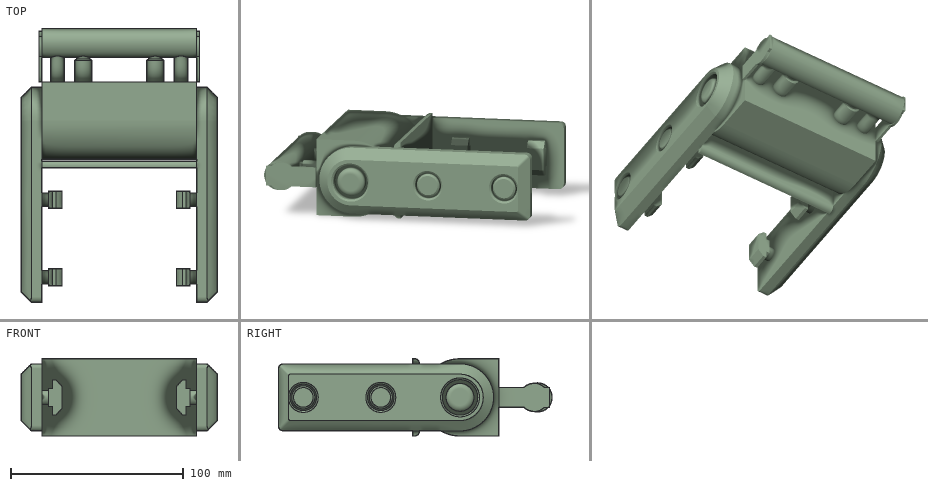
import cadquery as cq


body_width = 90.0
body_height = 45.0
body_radius = body_height / 2
body_rear = body_radius
body_side = body_width / 2

arm_thickness = 12.0
arm_height = 39.0
arm_radius = arm_height / 2
arm_front = -105.5
arm_chamfer = 6.0
arm_corner_radius = 3.0
arm_slope_radius = 1.5
arm_outer_face = body_side + arm_thickness

recess_depth = 7.0
recess_chamfer = 1.0
pivot_recess_diameter = 20.6
pivot_head_diameter = 16.2
pivot_head_round = 3.0
bolt_recess_diameter = 15.4
bolt_head_diameter = 13.4
bolt_head_chamfer = 1.0
bolt_head_sink = 0.4
first_bolt_y = -46.0
bolt_spacing = 45.0
bolt_positions = [first_bolt_y, first_bolt_y - bolt_spacing]

screw_diameter = 8.0
screw_length = 4.0
nut_width = 10.0
nut_neck_height = 10.4
nut_neck_depth = 2.3
nut_head_height = 20.2
nut_head_straight = 2.0
nut_head_depth = 5.5
nut_tip_height = 12.8

cross_plate_rear = -23.5
cross_plate_thickness = 4.0
cross_plate_round = 3.0

handle_diameter = 17.0
handle_y = 45.0
end_plate_thickness = 1.6
end_plate_height = 11.5
end_plate_rear = 52.0
end_plate_lobe_radius = 8.25
end_plate_lobe_y = 43.0
end_plate_gap = 0.05

plain_rod_x = 35.9
plain_rod_diameter = 8.0
stepped_rod_x = 20.9
stepped_rod_diameter = 9.9
stepped_rod_neck_diameter = 7.7
stepped_rod_shoulder_y = 35.0
stepped_rod_taper_length = 0.7


def disc(diameter, x_start, x_end, y):
    """Cylinder along X between two x positions."""
    return cq.Workplane("YZ", origin=(x_start, y, 0)).circle(diameter / 2).extrude(x_end - x_start)


def rod(diameter, x, y_end):
    """Cylinder along Y from the pivot plane to y_end."""
    return cq.Workplane("XZ", origin=(x, 0, 0)).circle(diameter / 2).extrude(-y_end)


def make_body():
    """Block with a half-round front."""
    return (
        cq.Workplane("YZ", origin=(-body_side, 0, 0))
        .moveTo(body_rear, -body_radius)
        .lineTo(body_rear, body_radius)
        .lineTo(0, body_radius)
        .threePointArc((-body_radius, 0), (0, -body_radius))
        .close()
        .extrude(body_width)
    )


def make_arm_blank():
    """Arm with a round rear end, chamfered outer face and rounded front corners."""
    blank = (
        cq.Workplane("YZ", origin=(body_side, 0, 0))
        .moveTo(arm_front, -arm_radius)
        .lineTo(0, -arm_radius)
        .threePointArc((arm_radius, 0), (0, arm_radius))
        .lineTo(arm_front, arm_radius)
        .close()
        .extrude(arm_thickness)
        .faces(">X")
        .chamfer(arm_chamfer)
    )
    margin = 0.1
    front_corner_zone = cq.selectors.BoxSelector(
        (body_side - margin, arm_front - margin, -arm_radius - margin),
        (arm_outer_face + margin, arm_front + arm_chamfer + margin, arm_radius + margin),
        boundingbox=True,
    )
    corner_edges = blank.edges(front_corner_zone).edges("not(|X or |Y or |Z)")
    rounded = corner_edges.fillet(arm_slope_radius)
    return rounded.edges("|X").edges("<Y").fillet(arm_corner_radius)


def make_recess(diameter, y):
    """Counterbore with a chamfered mouth, to be cut from the outer face of the arm."""
    mouth = (
        cq.Workplane("YZ", origin=(arm_outer_face, y, 0))
        .circle(diameter / 2 + recess_chamfer)
        .workplane(offset=-recess_chamfer)
        .circle(diameter / 2)
        .loft()
    )
    return disc(diameter, arm_outer_face - recess_depth, arm_outer_face, y).union(mouth)


def make_pivot_head():
    """Domed head of the pivot screw, flush with the outer face of the arm."""
    floor = arm_outer_face - recess_depth
    head = disc(pivot_head_diameter, floor, arm_outer_face, 0)
    return head.faces(">X").edges().fillet(pivot_head_round)


def make_bolt_head(y):
    """Flat chamfered head of a clamping bolt."""
    floor = arm_outer_face - recess_depth
    head = disc(bolt_head_diameter, floor, arm_outer_face - bolt_head_sink, y)
    return head.faces(">X").edges().chamfer(bolt_head_chamfer)


def make_slot_nut(y):
    """T-shaped nut with a tapered head, carried on a short screw."""
    neck_x = body_side - screw_length
    head_x = neck_x - nut_neck_depth
    taper_x = head_x - nut_head_straight
    tip_x = head_x - nut_head_depth
    upper_half = [
        (neck_x, nut_neck_height / 2),
        (head_x, nut_neck_height / 2),
        (head_x, nut_head_height / 2),
        (taper_x, nut_head_height / 2),
        (tip_x, nut_tip_height / 2),
    ]
    lower_half = [(x, -z) for x, z in reversed(upper_half)]
    nut = (
        cq.Workplane("XZ", origin=(0, y, 0))
        .polyline(upper_half + lower_half)
        .close()
        .extrude(nut_width / 2, both=True)
    )
    return nut.union(disc(screw_diameter, neck_x, body_side, y))


def make_arm():
    """Complete +X arm with screw heads and slot nuts."""
    arm = make_arm_blank()
    arm = arm.cut(make_recess(pivot_recess_diameter, 0)).union(make_pivot_head())
    for y in bolt_positions:
        arm = arm.cut(make_recess(bolt_recess_diameter, y))
        arm = arm.union(make_bolt_head(y)).union(make_slot_nut(y))
    return arm


def make_cross_plate():
    """Upright plate spanning the arms, rounded along its top and bottom rear edges."""
    return (
        cq.Workplane("XY")
        .box(body_width, cross_plate_thickness, body_height)
        .edges("|X and >Y")
        .fillet(cross_plate_round)
        .translate((0, cross_plate_rear - cross_plate_thickness / 2, 0))
    )


def make_end_plate():
    """Thin +X plate closing the end of the handle bar, with a round lobe on a flat tab."""
    tab_front = body_rear + end_plate_gap
    tab_length = end_plate_rear - tab_front
    tab = (
        cq.Workplane("YZ", origin=(body_side, tab_front + tab_length / 2, 0))
        .rect(tab_length, end_plate_height)
        .extrude(end_plate_thickness)
    )
    lobe_end = body_side + end_plate_thickness
    lobe = disc(2 * end_plate_lobe_radius, body_side, lobe_end, end_plate_lobe_y)
    return tab.union(lobe)


def make_stepped_rod():
    """Rod whose end tapers down to a thinner neck."""
    shank_radius = stepped_rod_diameter / 2
    neck_radius = stepped_rod_neck_diameter / 2
    taper_end = stepped_rod_shoulder_y + stepped_rod_taper_length
    return (
        cq.Workplane("XY")
        .lineTo(shank_radius, 0)
        .lineTo(shank_radius, stepped_rod_shoulder_y)
        .lineTo(neck_radius, taper_end)
        .lineTo(neck_radius, handle_y)
        .lineTo(0, handle_y)
        .close()
        .revolve(360, (0, 0, 0), (0, 1, 0))
        .translate((stepped_rod_x, 0, 0))
    )


side_parts = [
    make_arm(),
    make_end_plate(),
    rod(plain_rod_diameter, plain_rod_x, handle_y),
    make_stepped_rod(),
]

result = make_body()
result = result.union(disc(handle_diameter, -body_side, body_side, handle_y))
result = result.union(make_cross_plate())
for part in side_parts:
    result = result.union(part).union(part.mirror("YZ"))